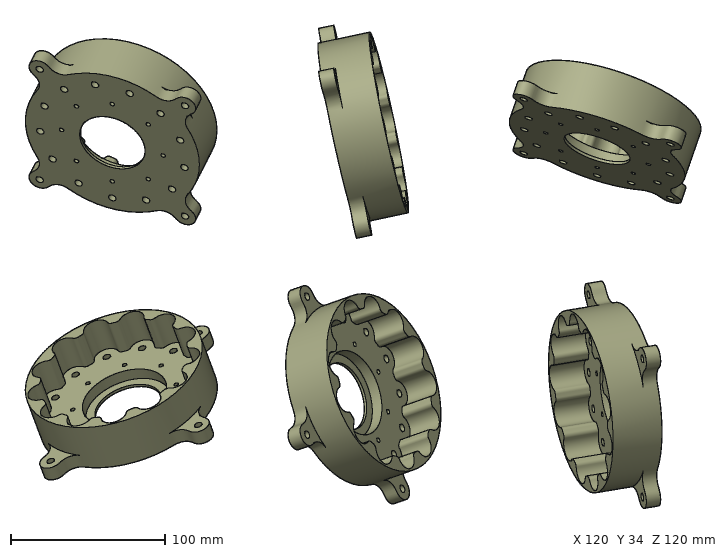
import cadquery as cq
import math

body_radius = 60.0
body_depth = 34.0
plate_thickness = 10.0

lug_offset = 50.0
lug_radius = 7.5
lug_blend_radius = 10.0
lug_directions = [45, 135, 225, 315]

bore_diameter = 45.0
seat_diameter = 57.0
lip_thickness = 2.0

pin_count = 13
pin_circle_radius = 50.0
pin_hole_diameter = 5.0
pocket_radius = 8.5
cavity_radius = 50.0
ridge_edge_radius = 3.0

screw_count = 8
screw_circle_radius = 35.0
screw_hole_diameter = 3.0

first_pin_angle = -90


def ring_points(count, radius, start_angle):
    """Evenly spaced (x, z) points on a circle about the axis."""
    angles = [math.radians(start_angle + i * 360 / count) for i in range(count)]
    return [(radius * math.cos(a), radius * math.sin(a)) for a in angles]


def sketch_plane(y):
    """Plane at depth y whose local axes are X and Z; extruding by a negative length goes to +Y."""
    return cq.Workplane("XZ", origin=(0, y, 0))


def cylinders(points, radius, y_start, y_end):
    """Cylinders along Y at the given (x, z) points."""
    return sketch_plane(y_start).pushPoints(points).circle(radius).extrude(y_start - y_end)


def make_lug(direction):
    """Lug drawn along local +X, rounded at its tip and blended into the body circle."""
    tip_center = math.hypot(lug_offset, lug_offset)
    blend_y = lug_radius + lug_blend_radius
    blend_x = math.sqrt((body_radius + lug_blend_radius) ** 2 - blend_y ** 2)
    touch_ratio = body_radius / (body_radius + lug_blend_radius)
    touch_x = blend_x * touch_ratio
    touch_y = blend_y * touch_ratio
    touch_angle = math.atan2(-blend_y, -blend_x)
    middle_angle = (touch_angle - math.pi / 2) / 2
    middle_x = blend_x + lug_blend_radius * math.cos(middle_angle)
    middle_y = blend_y + lug_blend_radius * math.sin(middle_angle)
    outline = (
        sketch_plane(0)
        .moveTo(0, 0)
        .lineTo(touch_x, touch_y)
        .threePointArc((middle_x, middle_y), (blend_x, lug_radius))
        .lineTo(tip_center, lug_radius)
        .threePointArc((tip_center + lug_radius, 0), (tip_center, -lug_radius))
        .lineTo(blend_x, -lug_radius)
        .threePointArc((middle_x, -middle_y), (touch_x, -touch_y))
        .close()
    )
    return outline.extrude(-plate_thickness).rotate((0, 0, 0), (0, -1, 0), direction)


def make_cavity(pin_points):
    """Round cavity with a pocket at each pin; the two ridge edges of every pocket are rounded."""
    cavity = cylinders([(0, 0)], cavity_radius, plate_thickness, body_depth)
    pockets = cylinders(pin_points, pocket_radius, plate_thickness, body_depth)
    cavity = cavity.union(pockets)
    cos_half = (cavity_radius ** 2 + pin_circle_radius ** 2 - pocket_radius ** 2) / (
        2 * cavity_radius * pin_circle_radius
    )
    half_angle = math.degrees(math.acos(cos_half))
    middle_depth = (plate_thickness + body_depth) / 2
    for side in (-1, 1):
        corners = ring_points(pin_count, cavity_radius, first_pin_angle + side * half_angle)
        for x, z in corners:
            nearest = cq.selectors.NearestToPointSelector((x, middle_depth, z))
            cavity = cavity.edges("|Y").edges(nearest).fillet(ridge_edge_radius)
    return cavity


pin_points = ring_points(pin_count, pin_circle_radius, first_pin_angle)
screw_points = ring_points(screw_count, screw_circle_radius, 0)
lug_points = [(x, z) for x in (-lug_offset, lug_offset) for z in (-lug_offset, lug_offset)]

result = cylinders([(0, 0)], body_radius, 0, body_depth)
for direction in lug_directions:
    result = result.union(make_lug(direction))

result = result.cut(make_cavity(pin_points))
result = result.cut(cylinders([(0, 0)], bore_diameter / 2, 0, plate_thickness))
result = result.cut(cylinders([(0, 0)], seat_diameter / 2, lip_thickness, plate_thickness))

result = result.cut(cylinders(pin_points + lug_points, pin_hole_diameter / 2, 0, plate_thickness))
result = result.cut(cylinders(screw_points, screw_hole_diameter / 2, 0, plate_thickness))